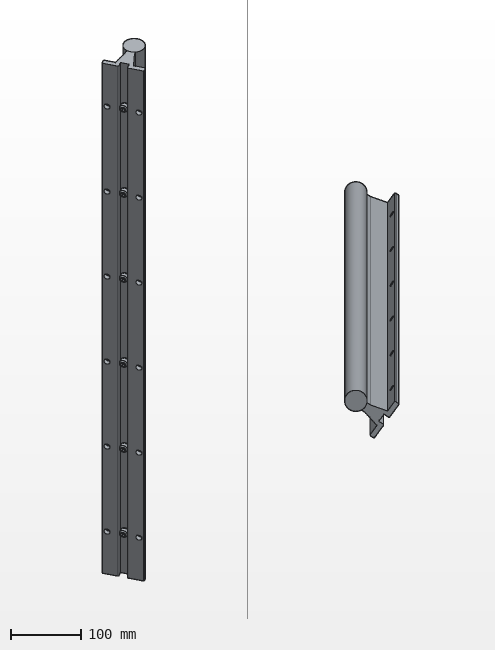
import cadquery as cq

LENGTH = 914.0
HEIGHT = 69.5
BASE_WIDTH = 63.0

SHAFT_DIAMETER = 32.0
SHAFT_AXIS = HEIGHT - SHAFT_DIAMETER / 2

BASE_THICKNESS = 7.8
FLANGE_CHAMFER_HEIGHT = 2.0
FLANGE_CHAMFER_DEPTH = 1.1

FOOT_WIDTH = 26.5
NECK_WIDTH = 14.0
NECK_BOTTOM = 33.0

CHANNEL_WIDTH = 13.0
CHANNEL_DEPTH = 9.0
MOUTH_RADIUS = 1.4

STATIONS = 6
PITCH = LENGTH / STATIONS
STATION_HEIGHTS = [(i + 0.5) * PITCH for i in range(STATIONS)]
MOUNT_HOLE_DIAMETER = 8.7
MOUNT_HOLE_SPACING = 48.0

HEAD_DIAMETER = 12.0
HEAD_CHAMFER = 2.0
SHANK_DIAMETER = 9.0
SHANK_END = SHAFT_AXIS
SOCKET_SIDES = 6
SOCKET_ACROSS_CORNERS = 6.0
SOCKET_DEPTH = CHANNEL_DEPTH / 2


def cylinder_along_y(diameter, start, end, x, z):
    """Cylinder from y = start to y = end, centred on (x, z)."""
    base_centre = cq.Vector(x, start, z)
    axis = cq.Vector(0, 1, 0)
    return cq.Workplane(cq.Solid.makeCylinder(diameter / 2, end - start, base_centre, axis))


def make_round_bar():
    """Plain bar on the shaft axis, used for the shaft and for its seat."""
    return cq.Workplane("XY").center(0, SHAFT_AXIS).circle(SHAFT_DIAMETER / 2).extrude(LENGTH)


def make_shank(z):
    return cylinder_along_y(SHANK_DIAMETER, CHANNEL_DEPTH, SHANK_END, 0, z)


def make_shaft():
    shaft = make_round_bar()
    for z in STATION_HEIGHTS:
        shaft = shaft.cut(make_shank(z))
    return shaft


def make_support_section():
    """Solid of the base and web, without channel, seat or holes."""
    tip = BASE_WIDTH / 2
    chamfer_start = tip - FLANGE_CHAMFER_DEPTH
    right_side = [
        (chamfer_start, 0),
        (tip, FLANGE_CHAMFER_HEIGHT),
        (tip, BASE_THICKNESS - FLANGE_CHAMFER_HEIGHT),
        (chamfer_start, BASE_THICKNESS),
        (FOOT_WIDTH / 2, BASE_THICKNESS),
        (NECK_WIDTH / 2, NECK_BOTTOM),
        (NECK_WIDTH / 2, SHAFT_AXIS),
    ]
    left_side = [(-x, y) for x, y in reversed(right_side)]
    return cq.Workplane("XY").polyline(right_side + left_side).close().extrude(LENGTH)


def cut_channel(support):
    """Cut the channel along the mounting face and round the edges of its mouth."""
    channel = cq.Workplane("XY").rect(CHANNEL_WIDTH, 2 * CHANNEL_DEPTH).extrude(LENGTH)
    around_mouth = cq.selectors.BoxSelector(
        (-CHANNEL_WIDTH, -CHANNEL_DEPTH / 4, 0),
        (CHANNEL_WIDTH, CHANNEL_DEPTH / 4, LENGTH),
    )
    return support.cut(channel).edges("|Z").edges(around_mouth).fillet(MOUTH_RADIUS)


def make_support():
    support = make_support_section().cut(make_round_bar())
    support = cut_channel(support)
    for z in STATION_HEIGHTS:
        support = support.cut(make_shank(z))
        for x in (-MOUNT_HOLE_SPACING / 2, MOUNT_HOLE_SPACING / 2):
            support = support.cut(cylinder_along_y(MOUNT_HOLE_DIAMETER, 0, BASE_THICKNESS, x, z))
    return support


def make_screw(z):
    head = cylinder_along_y(HEAD_DIAMETER, 0, CHANNEL_DEPTH, 0, z)
    head = head.faces("<Y").chamfer(HEAD_CHAMFER)
    socket = (
        cq.Workplane("XZ", origin=(0, 0, z))
        .polygon(SOCKET_SIDES, SOCKET_ACROSS_CORNERS)
        .extrude(-SOCKET_DEPTH)
    )
    return head.union(make_shank(z)).cut(socket)


shaft = make_shaft()
support = make_support()
screws = [make_screw(z) for z in STATION_HEIGHTS]

result = cq.Compound.makeCompound(
    [shaft.val(), support.val(), *[screw.val() for screw in screws]]
)